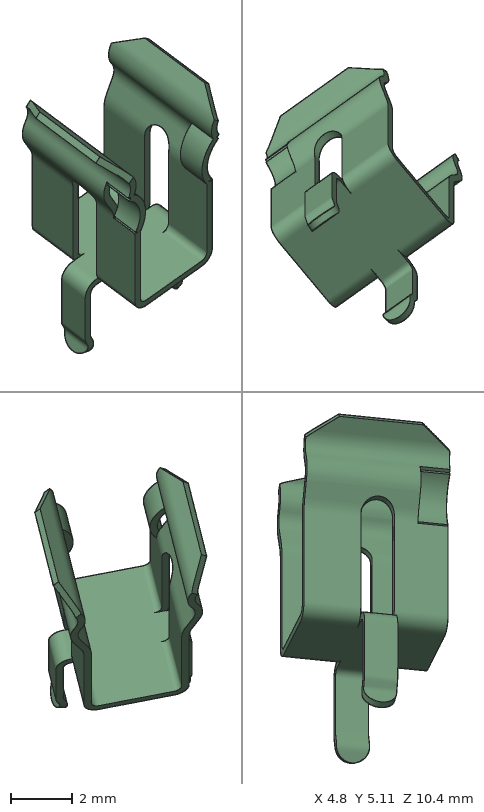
import cadquery as cq
import math


thickness = 0.25
width = 4.8
floor_bottom = 3.26
wall_outer_y = 1.75
leg_outer_y = 2.27
bend_radius = 0.37

wall_top = 7.0
contact_radius = 0.87
flare_out_radius = 1.12
flare_out_angle = 25
flare_out_length = 0.62
neck_radius = 0.83
neck_angle = 31
lip_angle = 44
lip_length = 0.58
lip_corner_width = 1.0
lip_corner_length = 0.81

stop_width = 1.0
stop_bow = 0.37

slot_width = 1.11
slot_center_x = 0.05
slot_top = 7.72

leg_straight_length = 1.98
leg_kink_angle = 22
leg_kink_in_radius = 0.29
leg_kink_length = 0.21
leg_kink_out_radius = 0.47
leg_tip_length = 0.36

half_sheet = thickness / 2
half_width = width / 2
floor_middle = floor_bottom + half_sheet
wall_bend_y = wall_outer_y - half_sheet - bend_radius
leg_bend_y = leg_outer_y - half_sheet - bend_radius
wall_length = wall_top - floor_middle - bend_radius
stop_start_x = half_width - stop_width
slot_left = slot_center_x - slot_width / 2
slot_right = slot_center_x + slot_width / 2


def offset_point(pose, distance):
    """Point at a distance to the left of a pose (y, z, heading in degrees)."""
    y, z, heading = pose
    angle = math.radians(heading)
    return (y - distance * math.sin(angle), z + distance * math.cos(angle))


def straight(pose, length):
    y, z, heading = pose
    angle = math.radians(heading)
    return (y + length * math.cos(angle), z + length * math.sin(angle), heading)


def turn(pose, radius, degrees):
    """Pose after an arc; positive degrees turn left."""
    side = math.copysign(radius, degrees)
    center_y, center_z = offset_point(pose, side)
    heading = pose[2] + degrees
    y, z = offset_point((center_y, center_z, heading), -side)
    return (y, z, heading)


def extrude_profile(profile, x_start, x_end):
    return profile.close().extrude(x_end - x_start).translate((x_start, 0, 0))


def bent_sheet(pose, steps, x_start, x_end):
    """Sheet following steps of (length,) or (radius, degrees); returns solid and end pose."""
    sheet = cq.Workplane("YZ")
    for step in steps:
        left, right = offset_point(pose, half_sheet), offset_point(pose, -half_sheet)
        profile = cq.Workplane("YZ").moveTo(*right)
        if len(step) == 1:
            end = straight(pose, *step)
            profile = profile.lineTo(*offset_point(end, -half_sheet))
            profile = profile.lineTo(*offset_point(end, half_sheet)).lineTo(*left)
        else:
            radius, degrees = step
            middle = turn(pose, radius, degrees / 2)
            end = turn(pose, radius, degrees)
            profile = profile.threePointArc(offset_point(middle, -half_sheet), offset_point(end, -half_sheet))
            profile = profile.lineTo(*offset_point(end, half_sheet))
            profile = profile.threePointArc(offset_point(middle, half_sheet), left)
        sheet = sheet.union(extrude_profile(profile, x_start, x_end))
        pose = end
    return sheet, pose


def tip_workplane(pose):
    """Workplane lying in the sheet at its tip; local x is X and local y points along the sheet."""
    y, z, heading = pose
    angle = math.radians(heading)
    normal = (0, -math.sin(angle), math.cos(angle))
    return cq.Workplane(cq.Plane(origin=(0, y, z), xDir=(1, 0, 0), normal=normal))


def stop_strip(lower, upper):
    """Sheet bowed toward -Y along a circular arc between two poses."""
    rise_y, rise_z = upper[0] - lower[0], upper[1] - lower[1]
    chord = math.hypot(rise_y, rise_z)
    chord_heading = math.degrees(math.atan2(rise_z, rise_y))
    half_angle = math.degrees(2 * math.atan(2 * stop_bow / chord))
    radius = chord / (2 * math.sin(math.radians(half_angle)))
    start = (lower[0], lower[1], chord_heading + half_angle)
    return bent_sheet(start, [(radius, -2 * half_angle)], stop_start_x, half_width)[0]


def make_arm():
    wall_steps = [(bend_radius, 90), (wall_length,)]
    contact_steps = [
        (flare_out_radius, -flare_out_angle),
        (flare_out_length,),
        (contact_radius, flare_out_angle + neck_angle),
    ]
    lip_steps = [(neck_radius, -neck_angle - lip_angle), (lip_length,)]

    start = (wall_bend_y, floor_middle, 0)
    wall, wall_end = bent_sheet(start, wall_steps, -half_width, half_width)
    contact, contact_end = bent_sheet(wall_end, contact_steps, -half_width, stop_start_x)
    lip, tip = bent_sheet(contact_end, lip_steps, -half_width, half_width)

    for side in (-1, 1):
        corner = (
            tip_workplane(tip)
            .moveTo(side * half_width, -lip_corner_length)
            .lineTo(side * (half_width - lip_corner_width), 0)
            .lineTo(side * half_width, 0)
            .close()
            .extrude(2 * thickness, both=True)
        )
        lip = lip.cut(corner)

    arm = wall.union(contact).union(lip).union(stop_strip(wall_end, contact_end))

    slot_round_z = slot_top - slot_width / 2
    slot = (
        cq.Workplane("XZ")
        .moveTo(slot_left, 0)
        .lineTo(slot_right, 0)
        .lineTo(slot_right, slot_round_z)
        .threePointArc((slot_center_x, slot_top), (slot_left, slot_round_z))
        .close()
        .extrude(-width)
        .translate((0, wall_bend_y, 0))
    )
    return arm.cut(slot)


def make_leg():
    steps = [
        (leg_bend_y - wall_bend_y,),
        (bend_radius, -90),
        (leg_straight_length,),
        (leg_kink_in_radius, -leg_kink_angle),
        (leg_kink_length,),
        (leg_kink_out_radius, 2 * leg_kink_angle),
        (leg_tip_length,),
    ]
    leg, tip = bent_sheet((wall_bend_y, floor_middle, 0), steps, slot_left, slot_right)

    round_radius = slot_width / 2
    waste = (
        tip_workplane(tip)
        .moveTo(slot_left, 0)
        .lineTo(slot_left, -round_radius)
        .threePointArc((slot_center_x, 0), (slot_right, -round_radius))
        .lineTo(slot_right, 0)
        .close()
        .extrude(thickness, both=True)
    )
    return leg.cut(waste)


floor = cq.Workplane("XY").box(width, 2 * wall_bend_y, thickness).translate((0, 0, floor_middle))
half_clip = make_arm().union(make_leg())
result = floor.union(half_clip).union(half_clip.mirror("XZ"))